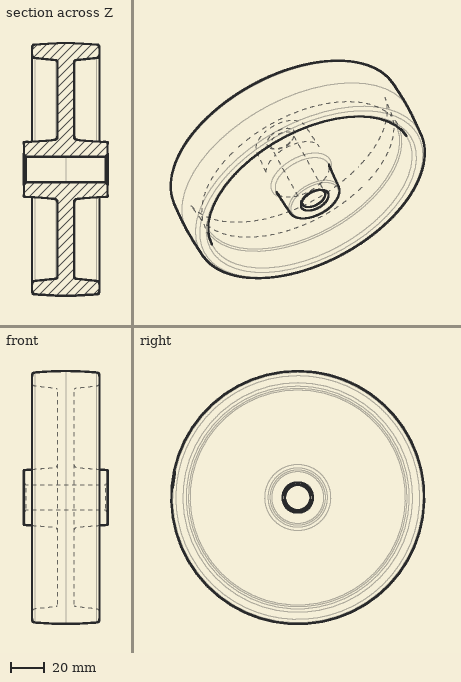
import cadquery as cq
import math

wheel_diameter = 150.0
hub_width = 50.0
rim_width = 40.0
web_thickness = 10.0
bore_diameter = 15.0

crown_drop = 1.0
rim_fillet = 2.0

rim_mouth_radius = 66.2
rim_draft_angle = 6.0
rim_root_fillet = 1.0

hub_end_radius = 16.3
hub_draft_angle = 4.0
hub_end_fillet = 1.0
hub_root_fillet = 2.0
bore_chamfer = 1.5

wheel_radius = wheel_diameter / 2
bore_radius = bore_diameter / 2
hub_half = hub_width / 2
rim_half = rim_width / 2
web_half = web_thickness / 2
rim_edge_radius = wheel_radius - crown_drop
rim_root_radius = rim_mouth_radius - (rim_half - web_half) * math.tan(math.radians(rim_draft_angle))
hub_root_radius = hub_end_radius + (hub_half - web_half) * math.tan(math.radians(hub_draft_angle))


def make_half_wheel():
    """Sharp-edged half of the wheel on the -X side, revolved from its radial section."""
    crown_radius = (rim_half**2 + crown_drop**2) / (2 * crown_drop)
    crown_mid_x = rim_half / 2
    crown_mid_radius = wheel_radius - crown_radius + math.sqrt(crown_radius**2 - crown_mid_x**2)
    section = (
        cq.Workplane("XZ")
        .moveTo(0, bore_radius)
        .lineTo(-hub_half, bore_radius)
        .lineTo(-hub_half, hub_end_radius)
        .lineTo(-web_half, hub_root_radius)
        .lineTo(-web_half, rim_root_radius)
        .lineTo(-rim_half, rim_mouth_radius)
        .lineTo(-rim_half, rim_edge_radius)
        .threePointArc((-crown_mid_x, crown_mid_radius), (0, wheel_radius))
        .close()
    )
    return section.revolve(360, (0, 0, 0), (1, 0, 0))


def circle_edge(body, x, radius):
    """The circular edge of the body with the given X position and radius."""
    tolerance = 0.01
    return body.edges("%CIRCLE").filter(
        lambda edge: abs(edge.Center().x - x) < tolerance and abs(edge.radius() - radius) < tolerance
    )


def finish_edges(half):
    """Round the rim and hub edges and chamfer the mouth of the bore."""
    fillets = (
        (-rim_half, rim_edge_radius, rim_fillet),
        (-rim_half, rim_mouth_radius, rim_fillet),
        (-web_half, rim_root_radius, rim_root_fillet),
        (-web_half, hub_root_radius, hub_root_fillet),
        (-hub_half, hub_end_radius, hub_end_fillet),
    )
    for x, edge_radius, fillet_radius in fillets:
        half = circle_edge(half, x, edge_radius).fillet(fillet_radius)
    return circle_edge(half, -hub_half, bore_radius).chamfer(bore_chamfer)


left_half = finish_edges(make_half_wheel())
result = left_half.union(left_half.mirror("YZ"))